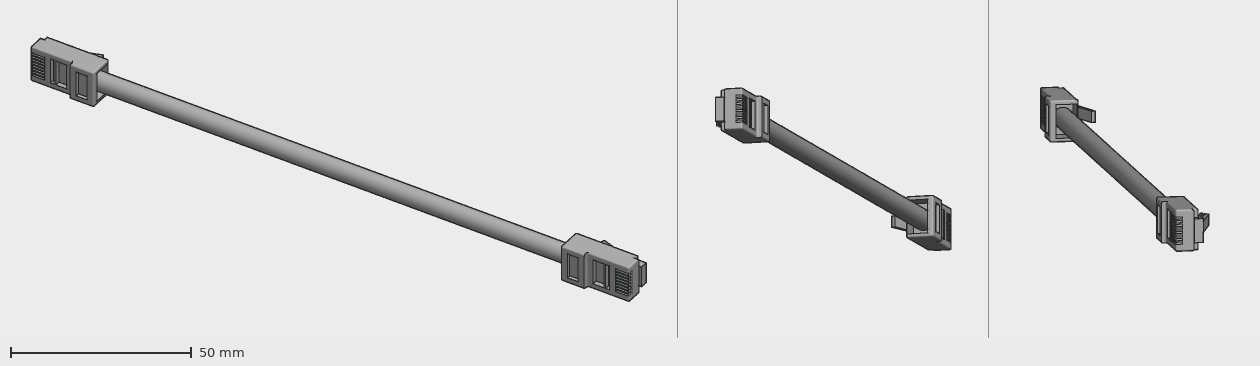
import cadquery as cq
import math

overall_length = 197.4
cable_diameter = 5.7

plug_length = 21.5
plug_width = 11.6
plug_height = 6.5
edge_radius = 0.5
nose_setback = 0.8
grip_length = 7.7
grip_step = 1.4

notch_length = 1.28
notch_depth = 1.4

slot_count = 8
slot_pitch = 1.0
slot_width = 0.5
slot_start = 0.3
slot_end = 4.5
slot_depth = 1.87

recess_width = 8.0
groove_start = 6.5
groove_length = 1.2
crimp_pocket_start = 8.3
crimp_pocket_length = 3.5
crimp_recess_depth = 1.5
grip_pocket_start = 15.8
grip_pocket_length = 3.5
grip_pocket_depth = 1.2

opening_width = 9.5
opening_height = 6.0
opening_depth = 6.0

latch_width = 6.7
root_length = 4.3
root_rise = 1.09
root_plate_thickness = 0.8
arm_angle = 18.5
arm_length = 13.6
arm_overlap = 0.1
strip_length = 4.7
strip_thickness = 0.7
finger_start = 2.0
finger_width = 3.2
finger_thickness = 1.2
tip_rise = 6.0

root_x = -overall_length / 2
nose_x = root_x + nose_setback
rear_x = nose_x + plug_length
grip_x = rear_x - grip_length
cable_end_x = rear_x - opening_depth
top_y = plug_height / 2
bottom_y = -plug_height / 2
grip_y = bottom_y - grip_step


def box(x_start, x_end, y_start, y_end, width, z_center=0.0):
    """A block between two X and two Y positions, centred on z_center."""
    block = cq.Workplane("XY").box(x_end - x_start, y_end - y_start, width, centered=False)
    return block.translate((x_start, y_start, z_center - width / 2))


def nose_section():
    """Front part of the housing, with the latch notch and rounded outer edges."""
    section = box(nose_x, grip_x, bottom_y, top_y, plug_width)
    notch = box(nose_x, nose_x + notch_length, top_y - notch_depth, top_y, plug_width)
    section = section.cut(notch)
    side_edges = section.faces("<Z or >Z").edges("not >X")
    lower_nose_edge = section.faces("<X").edges("<Y")
    return side_edges.add(lower_nose_edge).fillet(edge_radius)


def grip_section():
    """Taller rear part of the housing, rounded along X and around the rear face."""
    section = box(grip_x, rear_x, grip_y, top_y, plug_width)
    long_edges = section.edges("|X")
    return section.faces(">X").edges().add(long_edges).fillet(edge_radius)


def housing_blank():
    """Both sections joined, with the inner corner of the grip step rounded."""
    blank = nose_section().union(grip_section())
    step_corner = cq.selectors.NearestToPointSelector((grip_x, bottom_y, 0))
    return blank.edges("|Z").edges(step_corner).fillet(edge_radius)


def contact_slot(index):
    z = (index - (slot_count - 1) / 2) * slot_pitch
    floor_y = bottom_y + slot_depth
    return box(nose_x + slot_start, nose_x + slot_end, bottom_y, floor_y, slot_width, z)


def side_recess(start, length, floor_y):
    """A rectangular recess in the -Y side, with its floor at floor_y."""
    return box(nose_x + start, nose_x + start + length, grip_y, floor_y, recess_width)


def rear_opening():
    return box(cable_end_x, rear_x, -opening_height / 2, opening_height / 2, opening_width)


def latch_root():
    root_top = top_y + root_rise
    foot = box(root_x, nose_x + notch_length, top_y - notch_depth, root_top, latch_width)
    plate = box(root_x, root_x + root_length, root_top - root_plate_thickness, root_top, latch_width)
    return foot.union(plate)


def latch_arm():
    """Built flat along X, then tilted so that its tip reaches tip_rise."""
    strip = box(0, strip_length, 0, strip_thickness, latch_width)
    finger = box(finger_start, arm_length, 0, finger_thickness, finger_width)
    shoulder_corners = cq.selectors.BoxSelector(
        (strip_length - edge_radius, 0, -finger_width / 2 - edge_radius),
        (strip_length + edge_radius, strip_thickness, finger_width / 2 + edge_radius),
    )
    arm = strip.union(finger).edges("|Y").edges(shoulder_corners).fillet(edge_radius)
    slope = math.radians(arm_angle)
    arm_height = arm_length * math.sin(slope) + finger_thickness * math.cos(slope)
    foot_x = root_x + root_length - arm_overlap
    foot_y = top_y + tip_rise - arm_height
    return arm.rotate((0, 0, 0), (0, 0, 1), arm_angle).translate((foot_x, foot_y, 0))


def make_left_plug():
    crimp_floor_y = bottom_y + crimp_recess_depth
    grip_floor_y = grip_y + grip_pocket_depth
    plug = housing_blank()
    for index in range(slot_count):
        plug = plug.cut(contact_slot(index))
    plug = plug.cut(side_recess(groove_start, groove_length, crimp_floor_y))
    plug = plug.cut(side_recess(crimp_pocket_start, crimp_pocket_length, crimp_floor_y))
    plug = plug.cut(side_recess(grip_pocket_start, grip_pocket_length, grip_floor_y))
    plug = plug.cut(rear_opening())
    return plug.union(latch_root()).union(latch_arm())


def make_cable():
    return cq.Workplane("YZ").circle(cable_diameter / 2).extrude(-cable_end_x, both=True)


left_plug = make_left_plug()
plugs = []
for mirrored in (False, True):
    plug_body = left_plug.mirror("YZ") if mirrored else left_plug
    plugs.append(plug_body.val())

cable = make_cable()

result = cq.Compound.makeCompound([*plugs, cable.val()])